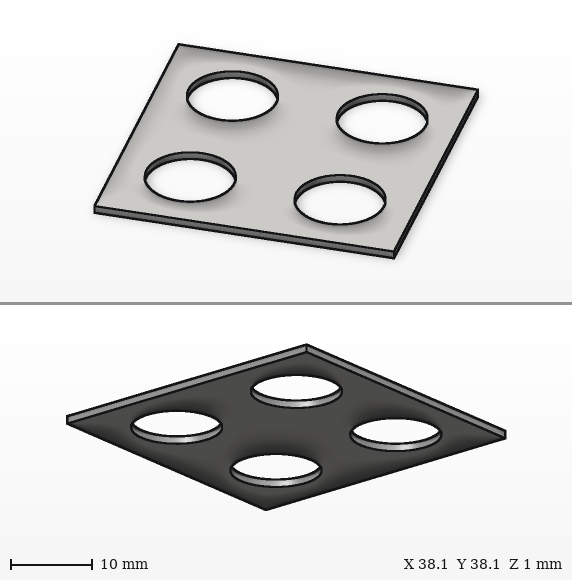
import cadquery as cq

plate_side = 38.1
plate_thickness = 1.0
hole_diameter = 11.15
holes_per_side = 2

hole_spacing = plate_side / holes_per_side

plate = cq.Workplane("XY").box(plate_side, plate_side, plate_thickness)

result = (
    plate.faces(">Z")
    .workplane()
    .rarray(hole_spacing, hole_spacing, holes_per_side, holes_per_side)
    .hole(hole_diameter)
)